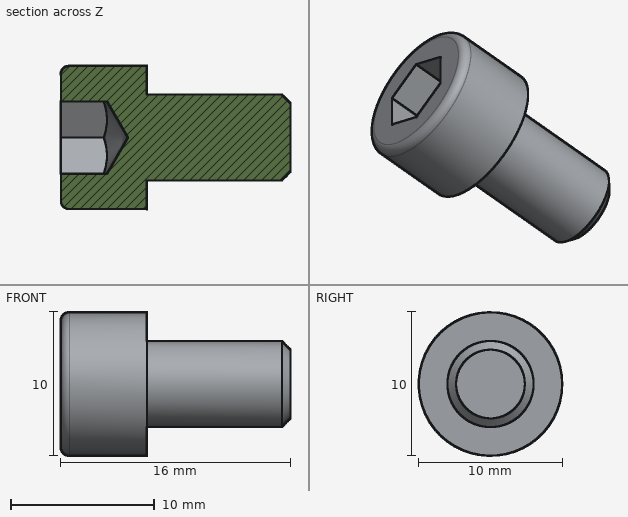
import cadquery as cq
import math

total_length = 16.0
head_diameter = 10.0
head_length = 6.0
head_rounding = 0.6
shank_diameter = 6.0
tip_chamfer = 0.6

socket_across_flats = 5.0
socket_depth = 3.0
socket_cone_angle = 120.0

socket_corner_radius = socket_across_flats / math.sqrt(3)
socket_cone_depth = socket_corner_radius / math.tan(math.radians(socket_cone_angle / 2))


def make_head():
    head = cq.Workplane("YZ").circle(head_diameter / 2).extrude(head_length)
    return head.faces("<X").edges().fillet(head_rounding)


def make_shank():
    shank = (
        cq.Workplane("YZ")
        .workplane(offset=head_length)
        .circle(shank_diameter / 2)
        .extrude(total_length - head_length)
    )
    return shank.faces(">X").edges().chamfer(tip_chamfer)


def make_socket():
    """Hexagonal prism trimmed by a cone, with two corners pointing along Z."""
    socket_end = socket_depth + socket_cone_depth
    hexagon = (
        cq.Workplane("YZ")
        .transformed(rotate=(0, 0, 90))
        .polygon(6, 2 * socket_corner_radius)
        .extrude(socket_end)
    )
    envelope = (
        cq.Workplane("XY")
        .polyline([
            (0, 0),
            (0, socket_corner_radius),
            (socket_depth, socket_corner_radius),
            (socket_end, 0),
        ])
        .close()
        .revolve(360, (0, 0, 0), (1, 0, 0))
    )
    return hexagon.intersect(envelope)


result = make_head().union(make_shank()).cut(make_socket())